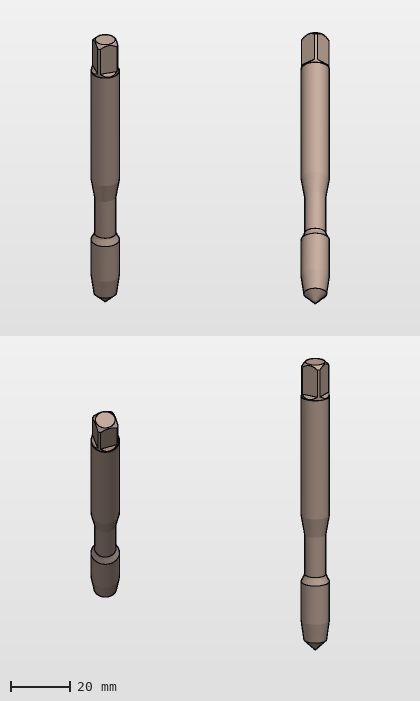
import cadquery as cq

total_length = 103.7
body_diameter = 9.6
square_corner_diameter = 9.3
neck_diameter = 7.3

point_base_diameter = 7.8
point_height = point_base_diameter / 2
lead_top = 10.8
head_shoulder = 24.8
head_shoulder_top = 26.6
head_shoulder_top_diameter = 7.8
head_top = 27.4

neck_top = 41.7
neck_taper_top = 48.6

square_size = 7.3
square_bottom = 92.6
shank_top = 91.4
end_face_diameter = 6.6
end_chamfer = (square_corner_diameter - end_face_diameter) / 2


def revolve_profile(points):
    """Revolve an (r, z) outline about the Z axis."""
    return cq.Workplane("XZ").polyline(points).close().revolve(360, (0, 0), (0, 1))


def make_cutting_head():
    """Pointed head with a tapered lead and a conical back shoulder."""
    return revolve_profile([
        (0, 0),
        (point_base_diameter / 2, point_height),
        (body_diameter / 2, lead_top),
        (body_diameter / 2, head_shoulder),
        (head_shoulder_top_diameter / 2, head_shoulder_top),
        (neck_diameter / 2, head_top),
        (0, head_top),
    ])


def make_flat_cutter():
    """Prism that cuts the +X flat and its 45 degree run-out ramp."""
    flat = square_size / 2
    outside = body_diameter
    ramp_drop = outside - flat
    return (
        cq.Workplane("XZ")
        .polyline([
            (flat, square_bottom),
            (outside, square_bottom - ramp_drop),
            (outside, total_length),
            (flat, total_length),
        ])
        .close()
        .extrude(body_diameter, both=True)
    )


def make_shank():
    """Necked round shank with a square drive at the top."""
    shank = revolve_profile([
        (0, head_top),
        (neck_diameter / 2, head_top),
        (neck_diameter / 2, neck_top),
        (body_diameter / 2, neck_taper_top),
        (body_diameter / 2, shank_top),
        (square_corner_diameter / 2, shank_top),
        (square_corner_diameter / 2, total_length - end_chamfer),
        (end_face_diameter / 2, total_length),
        (0, total_length),
    ])
    flat_cutter = make_flat_cutter()
    for side in range(4):
        shank = shank.cut(flat_cutter.rotate((0, 0, 0), (0, 0, 1), 90 * side))
    return shank


cutting_head = make_cutting_head()
shank = make_shank()
result = cq.Compound.makeCompound([cutting_head.val(), shank.val()])